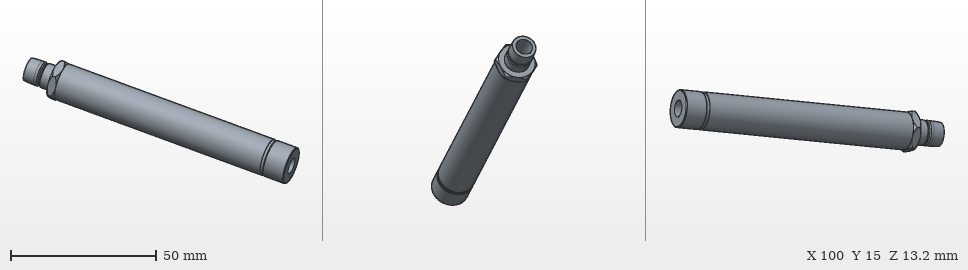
import cadquery as cq
import math

total_length = 100.0
spigot_length = 10.0
hex_length = 3.0
hex_end = spigot_length + hex_length

body_diameter = 13.2
body_radius = body_diameter / 2
bore_diameter = 5.8
end_chamfer = 0.3

hex_across_flats = 13.0
hex_sides = 6
hex_face_radius = hex_across_flats / 2
hex_corner_radius = hex_face_radius / math.cos(math.pi / hex_sides)
hex_turn_angle = 180 / hex_sides
hex_chamfer = hex_corner_radius - hex_face_radius

spigot_diameter = 8.9
spigot_radius = spigot_diameter / 2
tip_diameter = 8.4
tip_radius = tip_diameter / 2
tip_curve_length = 4.0
groove_start = 5.0
groove_floor_start = 5.5
groove_floor_end = 6.0
groove_end = 6.4
groove_radius = 4.1

ring_start = 91.0
ring_end = 92.0
ring_depth = 0.2
ring_bevel_length = 0.3


def revolve_profile(profile):
    """Close an open profile in the XY plane and revolve it about the X axis."""
    return profile.close().revolve(360, (0, 0, 0), (1, 0, 0))


def revolve_about_x(points):
    """Revolve a closed (x, radius) outline about the X axis."""
    return revolve_profile(cq.Workplane("XY").polyline(points))


def make_spigot():
    """Plug end with a gently rounded tip and a narrow groove behind it."""
    profile = (
        cq.Workplane("XY")
        .moveTo(spigot_length, 0)
        .lineTo(spigot_length, spigot_radius)
        .lineTo(groove_end, spigot_radius)
        .lineTo(groove_floor_end, groove_radius)
        .lineTo(groove_floor_start, groove_radius)
        .lineTo(groove_start, spigot_radius)
        .lineTo(tip_curve_length, spigot_radius)
        .tangentArcPoint((0, tip_radius), relative=False)
        .lineTo(0, 0)
    )
    return revolve_profile(profile)


def make_hexagon():
    """Hexagon with flats facing +Z and -Z and its corners turned off at 45 degrees."""
    prism = (
        cq.Workplane("YZ", origin=(spigot_length, 0, 0))
        .polygon(hex_sides, hex_across_flats, circumscribed=True)
        .extrude(hex_length)
        .rotate((0, 0, 0), (1, 0, 0), hex_turn_angle)
    )
    envelope = revolve_about_x([
        (spigot_length, 0),
        (spigot_length, hex_face_radius),
        (spigot_length + hex_chamfer, hex_corner_radius),
        (hex_end - hex_chamfer, hex_corner_radius),
        (hex_end, hex_face_radius),
        (hex_end, 0),
    ])
    return prism.intersect(envelope)


def make_body():
    """Long round body with a shallow ring groove and a chamfered far end."""
    ring_radius = body_radius - ring_depth
    return revolve_about_x([
        (hex_end, 0),
        (hex_end, body_radius),
        (ring_start, body_radius),
        (ring_start, ring_radius),
        (ring_end, ring_radius),
        (ring_end + ring_bevel_length, body_radius),
        (total_length - end_chamfer, body_radius),
        (total_length, body_radius - end_chamfer),
        (total_length, 0),
    ])


bore = cq.Workplane("YZ").circle(bore_diameter / 2).extrude(total_length)

result = make_spigot().union(make_hexagon()).union(make_body()).cut(bore)